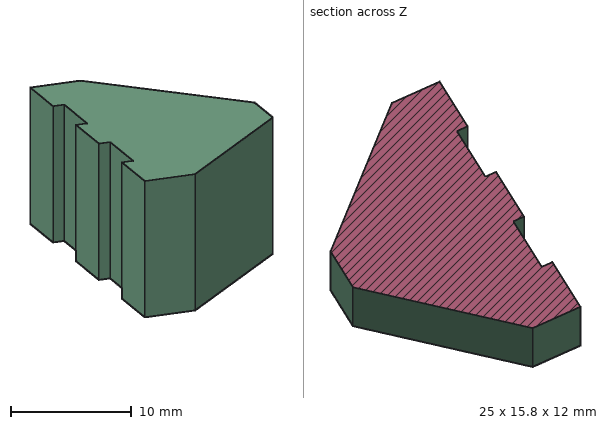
import cadquery as cq

width = 25.0
depth = 15.8
height = 12.0

side_depth = 4.5
rear_width = 4.0

groove_count = 2
groove_depth = 1.0
pitch = width / (2 * groove_count + 1)


def tapered_block():
    """Prism with straight sides that taper to a narrow rear flat."""
    outline = [
        (-width / 2, 0),
        (width / 2, 0),
        (width / 2, side_depth),
        (rear_width / 2, depth),
        (-rear_width / 2, depth),
        (-width / 2, side_depth),
    ]
    return cq.Workplane("XY").polyline(outline).close().extrude(height)


def groove(index):
    """Full-height rectangular groove, counted from the -X end."""
    left = -width / 2 + (2 * index + 1) * pitch
    return cq.Workplane("XY").box(pitch, groove_depth, height, centered=False).translate((left, 0, 0))


result = tapered_block()
for groove_index in range(groove_count):
    result = result.cut(groove(groove_index))